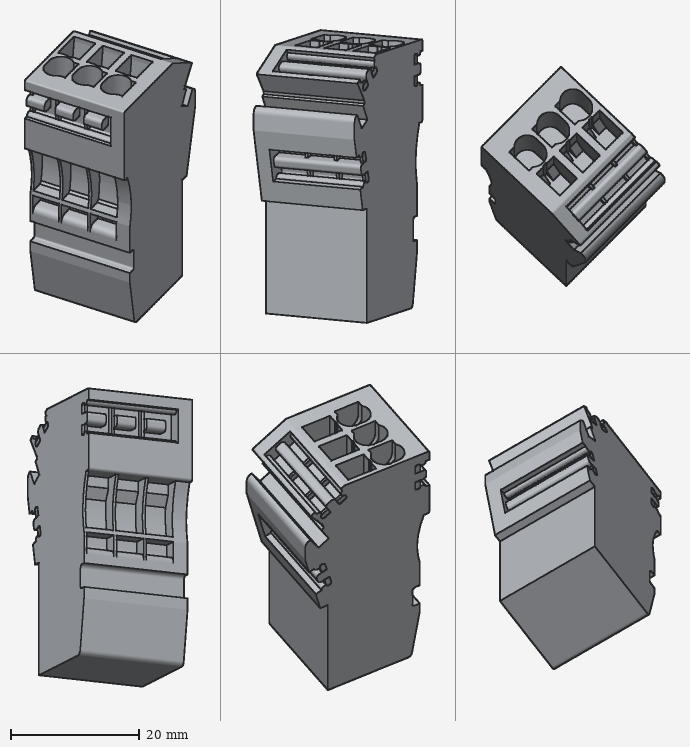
import cadquery as cq
import math

WIDTH = 17.8
DEPTH = 22.55
HEIGHT = 42.0
POLE_COUNT = 3
POLE_PITCH = 5.12
POLES_END = POLE_COUNT * POLE_PITCH

FRONT_WALL = 1.75
HEAD_BOTTOM = 28.9
SCOOP_START_Y = 1.0
SCOOP_UPPER = (1.9, 25.95)
SCOOP_DEEPEST = (2.23, 23.0)
SCOOP_LOWER = (2.1, 21.2)
SCOOP_END = 19.3
GROOVE_BOTTOM = 10.5
GROOVE_TOP = 14.32
GROOVE_FLOOR = 3.05
TAPER_START = 8.65
FOOT_FRONT = 3.28
REAR_WALL = 18.45
SHOULDER = 18.05
SHOULDER_REAR = 19.82
BULGE_BOTTOM = 29.6
BULGE_TOP = 32.15
BULGE_ROUND = (22.3, 32.93)
HOOK_LIP = (21.65, 33.4)
HOOK_FLOOR_LOW = (20.1, 31.05)
HOOK_FLOOR_HIGH = (18.25, 32.15)
HOOK_MOUTH = (19.65, 34.52)
HOOK_STEP_LOW = (19.15, 34.8)
HOOK_STEP_HIGH = (19.28, 35.32)
EAVE = (21.5, 38.35)
TOP_REAR = 15.37
TOP_SLOPE = 30.0
TOP_SLOPE_DEPTH = 5.85
HEAD_TOP_ROUND = 0.3
HEAD_BOTTOM_ROUND = 0.4
TOP_REAR_ROUND = 0.55
GROOVE_TOP_ROUND = 0.6
GROOVE_BOTTOM_ROUND = 0.3
FOOT_ROUND = 0.85

MOUTH_HALF = 2.7
NECK_HALF = 2.15
NECK_DEPTH = 1.65
LIP_START = 0.65
LIP_END = 1.25
CELL_HALF = 2.55
CELL_DEPTH = 2.6
CELL_ROUND = 0.38
TONGUE_HALF = 0.92
TONGUE_TOP = 0.55
TONGUE_ROUND = 0.65
WEB_THICKNESS = 0.45
WEB_SETBACK = 0.05
FRONT_TONGUE_LENGTH = 3.25
FRONT_CHANNEL_Z = 37.45
SLOPE_CHANNEL_RUN = 3.53
REAR_CHANNEL_CENTRE = (20.87, 24.15)
REAR_CHANNEL_TILT = 15.0

WINDOW_WIDTH = 4.65
WINDOW_FLOOR = 20.1
WINDOW_BACK = 4.75
WINDOW_BACK_Z = 23.9
WINDOW_LOWER_RADIUS = 15.95
WINDOW_UPPER_RADIUS = 19.3
WINDOW_CURVE_BOTTOM = 20.55
WINDOW_CURVE_TOP = 25.4
WINDOW_BEVEL = 0.38
WINDOW_HEAD_BACK = 3.75
WINDOW_HEAD_BOTTOM = 27.2
LOWER_WINDOW_BOTTOM = 15.9
LOWER_WINDOW_BACK = 4.33
ROLL_RADIUS = 1.1
LEAN_TOP = 17.9
LEAN_DEPTH = 0.13

POLE_CENTRE = 2.75
ENTRY_WIDTH = 4.07
ENTRY_LENGTH = 5.45
ENTRY_Y = 5.95
ENTRY_FLOOR = 31.5
SIDE_SLOT_Y = 5.9
SIDE_SLOT_RADIUS = 2.15
SIDE_SLOT_Z = 39.25
SHAFT_WIDTH = 3.82
SHAFT_FRONT = 9.2
SHAFT_REAR = 14.25
SHAFT_FLOOR = 34.27
SHAFT_FLOOR_FRONT = 10.63
SHAFT_FLOOR_REAR = 13.27
SHAFT_RAMP_TOP = 36.75
SHAFT_TAPER_TOP = 41.15
DRIVER_SLOT_WIDTH = 0.67
DRIVER_SLOT_OVERCUT = 0.13

EDGE_REACH = 0.05
CLEAR = 1.25


def side_prism(outline, x_start, x_end):
    """Extrude a closed YZ sketch from x_start to x_end."""
    return outline.extrude(x_end - x_start).translate((x_start, 0, 0))


def rounded(solid, radius, y, z):
    """Round the X-parallel edge that passes through (y, z)."""
    low_corner = (0, y - EDGE_REACH, z - EDGE_REACH)
    high_corner = (WIDTH, y + EDGE_REACH, z + EDGE_REACH)
    around_edge = cq.selectors.BoxSelector(low_corner, high_corner)
    return solid.edges("|X").edges(around_edge).fillet(radius)


def make_body():
    slope_drop = TOP_SLOPE_DEPTH * math.tan(math.radians(TOP_SLOPE))
    body = (
        cq.Workplane("YZ")
        .moveTo(0, HEIGHT)
        .lineTo(0, HEAD_BOTTOM)
        .lineTo(SCOOP_START_Y, HEAD_BOTTOM)
        .threePointArc(SCOOP_UPPER, SCOOP_DEEPEST)
        .threePointArc(SCOOP_LOWER, (FRONT_WALL, SCOOP_END))
        .lineTo(FRONT_WALL, GROOVE_TOP)
        .lineTo(GROOVE_FLOOR, GROOVE_TOP)
        .lineTo(GROOVE_FLOOR, GROOVE_BOTTOM)
        .lineTo(FRONT_WALL, GROOVE_BOTTOM)
        .lineTo(FRONT_WALL, TAPER_START)
        .lineTo(FOOT_FRONT, 0)
        .lineTo(REAR_WALL, 0)
        .lineTo(REAR_WALL, SHOULDER)
        .lineTo(SHOULDER_REAR, SHOULDER)
        .lineTo(DEPTH, BULGE_BOTTOM)
        .lineTo(DEPTH, BULGE_TOP)
        .threePointArc(BULGE_ROUND, HOOK_LIP)
        .lineTo(*HOOK_FLOOR_LOW)
        .lineTo(*HOOK_FLOOR_HIGH)
        .lineTo(*HOOK_MOUTH)
        .lineTo(*HOOK_STEP_LOW)
        .lineTo(*HOOK_STEP_HIGH)
        .lineTo(*EAVE)
        .lineTo(TOP_REAR + TOP_SLOPE_DEPTH, HEIGHT - slope_drop)
        .lineTo(TOP_REAR, HEIGHT)
        .close()
        .extrude(WIDTH)
    )
    body = rounded(body, HEAD_TOP_ROUND, 0, HEIGHT)
    body = rounded(body, TOP_REAR_ROUND, TOP_REAR, HEIGHT)
    body = rounded(body, HEAD_BOTTOM_ROUND, 0, HEAD_BOTTOM)
    body = rounded(body, GROOVE_TOP_ROUND, GROOVE_FLOOR, GROOVE_TOP)
    body = rounded(body, GROOVE_BOTTOM_ROUND, GROOVE_FLOOR, GROOVE_BOTTOM)
    return rounded(body, FOOT_ROUND, FOOT_FRONT, 0)


def channel_cutter(tongue_spans):
    """Channel open at X = 0, entering along +Y from the origin and centred on Z = 0.

    tongue_spans lists the (start, end) X ranges in which the centre tongue stands.
    """
    bulge = 1 - math.sqrt(0.5)
    lip_middle = LIP_START + bulge * (LIP_END - LIP_START)
    lip_inset = bulge * (MOUTH_HALF - NECK_HALF)
    trough = side_prism(
        cq.Workplane("YZ")
        .moveTo(-CLEAR, MOUTH_HALF)
        .lineTo(LIP_START, MOUTH_HALF)
        .threePointArc((lip_middle, NECK_HALF + lip_inset), (LIP_END, NECK_HALF))
        .lineTo(NECK_DEPTH, NECK_HALF)
        .lineTo(NECK_DEPTH, -NECK_HALF)
        .lineTo(LIP_END, -NECK_HALF)
        .threePointArc((lip_middle, -NECK_HALF - lip_inset), (LIP_START, -MOUTH_HALF))
        .lineTo(-CLEAR, -MOUTH_HALF)
        .close(),
        -CLEAR, POLES_END,
    )
    length = POLES_END + CLEAR
    cavity_depth = CELL_DEPTH - NECK_DEPTH
    cavity = (
        cq.Workplane("XY")
        .box(length, cavity_depth, 2 * CELL_HALF, centered=(False, False, True))
        .edges("|X").fillet(CELL_ROUND)
    )
    neck = cq.Workplane("XY").box(length, cavity_depth / 2, 2 * NECK_HALF, centered=(False, False, True))
    trough = trough.union(cavity.union(neck).translate((-CLEAR, NECK_DEPTH, 0)))

    for pole in range(POLE_COUNT):
        web_start = pole * POLE_PITCH - WEB_THICKNESS
        web_end = pole * POLE_PITCH
        if pole == 0:
            web_start = WEB_SETBACK
            web_end = WEB_SETBACK + WEB_THICKNESS
        web = (
            cq.Workplane("XY")
            .box(web_end - web_start, CELL_DEPTH, 2 * MOUTH_HALF, centered=(False, False, True))
            .translate((web_start, NECK_DEPTH, 0))
        )
        trough = trough.cut(web)
    for start, end in tongue_spans:
        tongue = (
            cq.Workplane("XY")
            .box(end - start, CELL_DEPTH + CLEAR - TONGUE_TOP, 2 * TONGUE_HALF, centered=(False, False, True))
            .edges("|X and <Y").fillet(TONGUE_ROUND)
            .translate((start, TONGUE_TOP, 0))
        )
        trough = trough.cut(tongue)
    return trough


def place_channel(cutter, turn, y, z):
    """Turn a channel about X (degrees) and move its mouth centre to (y, z)."""
    return cutter.rotate((0, 0, 0), (1, 0, 0), turn).translate((0, y, z))


def window_cutter(x_end):
    """Recess behind the concave front, with a curved back wall."""
    lower_mid_z = (WINDOW_CURVE_BOTTOM + WINDOW_BACK_Z) / 2
    upper_mid_z = (WINDOW_CURVE_TOP + WINDOW_BACK_Z) / 2

    def back_point(z, radius):
        offset = z - WINDOW_BACK_Z
        return (WINDOW_BACK - radius + math.sqrt(radius ** 2 - offset ** 2), z)

    curve_start = back_point(WINDOW_CURVE_BOTTOM, WINDOW_LOWER_RADIUS)
    curve_end = back_point(WINDOW_CURVE_TOP, WINDOW_UPPER_RADIUS)
    outline = (
        cq.Workplane("YZ")
        .moveTo(0, WINDOW_FLOOR)
        .lineTo(curve_start[0] - WINDOW_BEVEL, WINDOW_FLOOR)
        .lineTo(*curve_start)
        .threePointArc(back_point(lower_mid_z, WINDOW_LOWER_RADIUS), (WINDOW_BACK, WINDOW_BACK_Z))
        .threePointArc(back_point(upper_mid_z, WINDOW_UPPER_RADIUS), curve_end)
        .lineTo(WINDOW_HEAD_BACK, WINDOW_HEAD_BOTTOM)
        .lineTo(WINDOW_HEAD_BACK, HEAD_BOTTOM)
        .lineTo(0, HEAD_BOTTOM)
        .close()
    )
    return side_prism(outline, x_end - WINDOW_WIDTH, x_end)


def lower_window_cutter(x_end):
    """Window under the recess, with a rounded sill and a back wall that leans at its foot."""
    sill_top = LOWER_WINDOW_BOTTOM + ROLL_RADIUS
    outline = (
        cq.Workplane("YZ")
        .moveTo(0, LOWER_WINDOW_BOTTOM)
        .lineTo(FRONT_WALL, LOWER_WINDOW_BOTTOM)
        .radiusArc((FRONT_WALL + ROLL_RADIUS, sill_top), ROLL_RADIUS)
        .lineTo(LOWER_WINDOW_BACK - LEAN_DEPTH, sill_top)
        .lineTo(LOWER_WINDOW_BACK, LEAN_TOP)
        .lineTo(LOWER_WINDOW_BACK, SCOOP_END)
        .lineTo(0, SCOOP_END)
        .close()
    )
    return side_prism(outline, x_end - WINDOW_WIDTH, x_end)


def entry_cutter(x_centre, x_end):
    """Wire entry with a round-bottomed slot on its +X side."""
    entry = (
        cq.Workplane("XY", origin=(x_centre, ENTRY_Y, ENTRY_FLOOR))
        .slot2D(ENTRY_LENGTH, ENTRY_WIDTH, 90)
        .extrude(HEIGHT + CLEAR - ENTRY_FLOOR)
    )
    slot_front = SIDE_SLOT_Y - SIDE_SLOT_RADIUS
    slot_rear = SIDE_SLOT_Y + SIDE_SLOT_RADIUS
    side_slot = side_prism(
        cq.Workplane("YZ")
        .moveTo(slot_front, HEIGHT + CLEAR)
        .lineTo(slot_front, SIDE_SLOT_Z)
        .threePointArc((SIDE_SLOT_Y, SIDE_SLOT_Z - SIDE_SLOT_RADIUS), (slot_rear, SIDE_SLOT_Z))
        .lineTo(slot_rear, HEIGHT + CLEAR)
        .close(),
        x_centre, x_end,
    )
    return entry.union(side_slot)


def shaft_cutter(x_centre):
    """Square release shaft with tapered rear, ramped front and a driver slot in the ramp."""
    shaft = side_prism(
        cq.Workplane("YZ")
        .moveTo(SHAFT_FRONT, HEIGHT + CLEAR)
        .lineTo(SHAFT_FRONT, SHAFT_RAMP_TOP)
        .lineTo(SHAFT_FLOOR_FRONT, SHAFT_FLOOR)
        .lineTo(SHAFT_FLOOR_REAR, SHAFT_FLOOR)
        .lineTo(SHAFT_REAR, SHAFT_TAPER_TOP)
        .lineTo(SHAFT_REAR, HEIGHT + CLEAR)
        .close(),
        x_centre - SHAFT_WIDTH / 2, x_centre + SHAFT_WIDTH / 2,
    )
    slot_front = SHAFT_FRONT - DRIVER_SLOT_OVERCUT
    slot = cq.Workplane("XY").box(
        DRIVER_SLOT_WIDTH, SHAFT_FLOOR_FRONT - slot_front, HEIGHT + CLEAR - SHAFT_FLOOR,
        centered=(True, False, False),
    ).translate((x_centre, slot_front, SHAFT_FLOOR))
    return shaft.union(slot)


result = make_body()

front_tongues = [(-CLEAR, FRONT_TONGUE_LENGTH)]
for pole in range(1, POLE_COUNT):
    tongue_start = pole * POLE_PITCH
    front_tongues.append((tongue_start, tongue_start + FRONT_TONGUE_LENGTH))
full_tongue = [(-CLEAR, POLES_END)]
slope = math.radians(TOP_SLOPE)
slope_channel_y = TOP_REAR + SLOPE_CHANNEL_RUN * math.cos(slope)
slope_channel_z = HEIGHT - SLOPE_CHANNEL_RUN * math.sin(slope)
rear_channel_y, rear_channel_z = REAR_CHANNEL_CENTRE

front_channel = place_channel(channel_cutter(front_tongues), 0, 0, FRONT_CHANNEL_Z)
rear_turn = 180 - REAR_CHANNEL_TILT
slope_channel = place_channel(channel_cutter(full_tongue), -90 - TOP_SLOPE, slope_channel_y, slope_channel_z)
rear_channel = place_channel(channel_cutter(full_tongue), rear_turn, rear_channel_y, rear_channel_z)
for channel in (front_channel, slope_channel, rear_channel):
    result = result.cut(channel)

for pole in range(POLE_COUNT):
    pole_end = (pole + 1) * POLE_PITCH
    pole_centre = POLE_CENTRE + pole * POLE_PITCH
    result = result.cut(window_cutter(pole_end))
    result = result.cut(lower_window_cutter(pole_end))
    result = result.cut(entry_cutter(pole_centre, pole_end))
    result = result.cut(shaft_cutter(pole_centre))